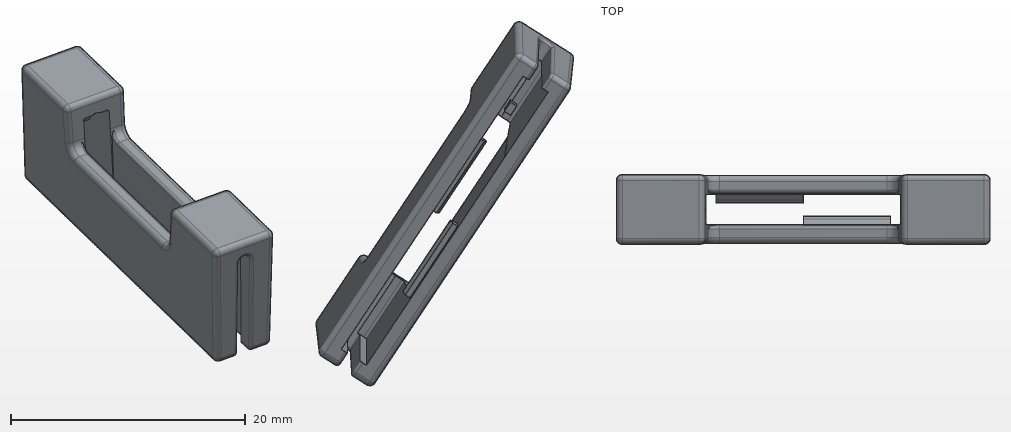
import cadquery as cq
import math

length = 31.85
width = 5.95
height = 12.0
draft_angle = 1.0
edge_radius = 0.5
draft_slope = math.tan(math.radians(draft_angle))
block_length = length + 2 * edge_radius * draft_slope
block_width = width + 2 * edge_radius * draft_slope

notch_floor_z = 7.52
notch_floor_half_length = 8.03
notch_wall_angle = 5.0
notch_corner_radius = 1.0
notch_slope = math.tan(math.radians(notch_wall_angle))

cavity_half_width = 1.27
cavity_top_z = 10.38
cavity_corner_radius = 0.25
end_wall = 1.5

recess_end_gap = 0.03
recess_floor_half_width = cavity_half_width + notch_floor_z * draft_slope
inner_lip_radius = 0.25

slot_radius = 0.6
slot_arch_z = 9.9
slot_bottom_half_width = 0.65
slot_lip_radius = 0.25

hook_length = 7.45
hook_tip_y = 0.57
hook_edge_y = 0.83
hook_bottom_z = 0.95
hook_tip_z = 1.6
hook_edge_z = 1.78
hook_wall_z = 2.1

rib_start_x = 8.98
rib_length = 0.95
rib_inner_y = 0.22
rib_thickness = 0.65
rib_bottom_z = 9.52

overlap = 0.15
pick_margin = 0.03


def notch_half_length(z):
    return notch_floor_half_length + (z - notch_floor_z) * notch_slope


def trapezoid_prism(plane, bottom_half, bottom_z, top_half, top_z, half_depth):
    """Symmetric trapezoid on an upright plane, extruded to both sides."""
    outline = [(-top_half, top_z), (-bottom_half, bottom_z), (bottom_half, bottom_z), (top_half, top_z)]
    return cq.Workplane(plane).polyline(outline).close().extrude(half_depth, both=True)


def make_body():
    block = (
        cq.Workplane("XY", origin=(0, 0, height))
        .rect(block_length, block_width)
        .extrude(-height, taper=draft_angle)
    )
    notch = trapezoid_prism(
        "XZ", notch_floor_half_length, notch_floor_z, notch_half_length(height), height, width
    )
    notch = notch.edges("|Y and <Z").fillet(notch_corner_radius)
    body = block.cut(notch)

    whole_part = cq.selectors.BoxSelector((-length, -width, -height), (length, width, 2 * height))
    notch_seams = cq.selectors.BoxSelector(
        (-length / 2, -pick_margin, notch_floor_z - pick_margin),
        (length / 2, pick_margin, height - pick_margin),
    )
    return body.edges(whole_part - notch_seams).fillet(edge_radius)


def make_cavity():
    cavity_length = length - 2 * (end_wall + height * draft_slope)
    return (
        cq.Workplane("XY")
        .rect(cavity_length, 2 * cavity_half_width)
        .extrude(cavity_top_z)
        .edges("|X and >Z")
        .fillet(cavity_corner_radius)
    )


def make_recess():
    side_profile = trapezoid_prism(
        "XZ",
        notch_half_length(0) - recess_end_gap,
        0,
        notch_half_length(cavity_top_z) - recess_end_gap,
        cavity_top_z,
        width,
    )
    top_half_width = cavity_half_width + cavity_top_z * draft_slope
    cross_profile = trapezoid_prism("YZ", cavity_half_width, 0, top_half_width, cavity_top_z, length)
    return side_profile.intersect(cross_profile)


def round_inner_lips(solid):
    """Round the inner top edges of both long walls, following the notch corners."""
    lips = cq.selectors.BoxSelector(
        (-notch_floor_half_length, -recess_floor_half_width - pick_margin, notch_floor_z - pick_margin),
        (notch_floor_half_length, recess_floor_half_width + pick_margin, notch_floor_z + pick_margin),
    )
    return solid.edges(lips).fillet(inner_lip_radius)


def make_end_slots():
    return (
        cq.Workplane("YZ")
        .moveTo(-slot_bottom_half_width, 0)
        .lineTo(-slot_radius, slot_arch_z)
        .threePointArc((0, slot_arch_z + slot_radius), (slot_radius, slot_arch_z))
        .lineTo(slot_bottom_half_width, 0)
        .close()
        .extrude(length, both=True)
    )


def round_slot_lips(solid):
    """Round the outer mouth of the slot on both end faces."""
    half_width = slot_bottom_half_width + pick_margin
    lip_depth = height * draft_slope + pick_margin
    for side in (-1, 1):
        outer_x = side * length / 2
        inner_x = outer_x - side * lip_depth
        mouth = cq.selectors.BoxSelector(
            (inner_x, -half_width, edge_radius + pick_margin),
            (outer_x, half_width, height - edge_radius),
        )
        solid = solid.edges(mouth).fillet(slot_lip_radius)
    return solid


def make_hook():
    root_y = recess_floor_half_width + overlap
    return (
        cq.Workplane("YZ")
        .moveTo(root_y, hook_bottom_z)
        .lineTo(hook_edge_y, hook_bottom_z)
        .lineTo(hook_tip_y, hook_tip_z)
        .lineTo(hook_edge_y, hook_edge_z)
        .lineTo(cavity_half_width, hook_wall_z)
        .lineTo(root_y, hook_wall_z)
        .close()
        .extrude(-hook_length)
    )


def make_rib():
    rib_height = cavity_top_z - rib_bottom_z + overlap
    rib = cq.Workplane("XY").box(rib_length, rib_thickness, rib_height, centered=False)
    return rib.translate((rib_start_x, rib_inner_y, rib_bottom_z))


def add_hooks_and_ribs(solid):
    """Add a hook and a rib, and the same pair turned half a turn about Z."""
    for angle in (0, 180):
        for feature in (make_hook(), make_rib()):
            solid = solid.union(feature.rotate((0, 0, 0), (0, 0, 1), angle))
    return solid


hollow_body = round_inner_lips(make_body().cut(make_cavity()).cut(make_recess()))
slotted_body = round_slot_lips(hollow_body.cut(make_end_slots()))
result = add_hooks_and_ribs(slotted_body)